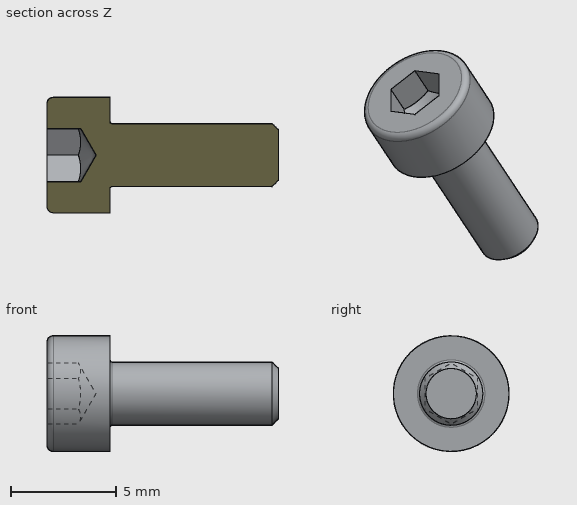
import cadquery as cq
import math

total_length = 11.0
shank_diameter = 3.0
head_diameter = 5.5
head_height = shank_diameter
shank_length = total_length - head_height
head_rounding = 0.31
neck_fillet = 0.1
tip_chamfer = 0.31

socket_across_flats = 2.51
socket_depth = 1.5
floor_cone_angle = 120.0

head_face_x = -head_height


def make_head():
    head = cq.Workplane("YZ", origin=(head_face_x, 0, 0)).circle(head_diameter / 2).extrude(head_height)
    return head.faces("<X").edges().fillet(head_rounding)


def make_shank():
    shank = cq.Workplane("YZ").circle(shank_diameter / 2).extrude(shank_length)
    return shank.faces(">X").edges().chamfer(tip_chamfer)


def make_neck():
    """Concave fillet ring between the shank and the underside of the head."""
    shank_radius = shank_diameter / 2
    arc_offset = neck_fillet * (1 - math.sqrt(0.5))
    return (
        cq.Workplane("XY")
        .lineTo(0, shank_radius + neck_fillet)
        .threePointArc((arc_offset, shank_radius + arc_offset), (neck_fillet, shank_radius))
        .lineTo(neck_fillet, 0)
        .close()
        .revolve(360, (0, 0, 0), (1, 0, 0))
    )


def make_socket():
    """Hexagonal prism with corners at +Z and -Z, continued by a cone trimmed to the hexagon."""
    across_corners = socket_across_flats / math.cos(math.pi / 6)
    corner_radius = across_corners / 2
    cone_depth = corner_radius / math.tan(math.radians(floor_cone_angle / 2))
    full_depth = socket_depth + cone_depth
    hexagon = (
        cq.Workplane("YZ", origin=(head_face_x, 0, 0))
        .transformed(rotate=(0, 0, 90))
        .polygon(6, across_corners)
        .extrude(full_depth)
    )
    drill = (
        cq.Workplane("XY", origin=(head_face_x, 0, 0))
        .lineTo(0, corner_radius)
        .lineTo(socket_depth, corner_radius)
        .lineTo(full_depth, 0)
        .close()
        .revolve(360, (0, 0, 0), (1, 0, 0))
    )
    return hexagon.intersect(drill)


result = make_head().union(make_shank()).union(make_neck()).cut(make_socket())